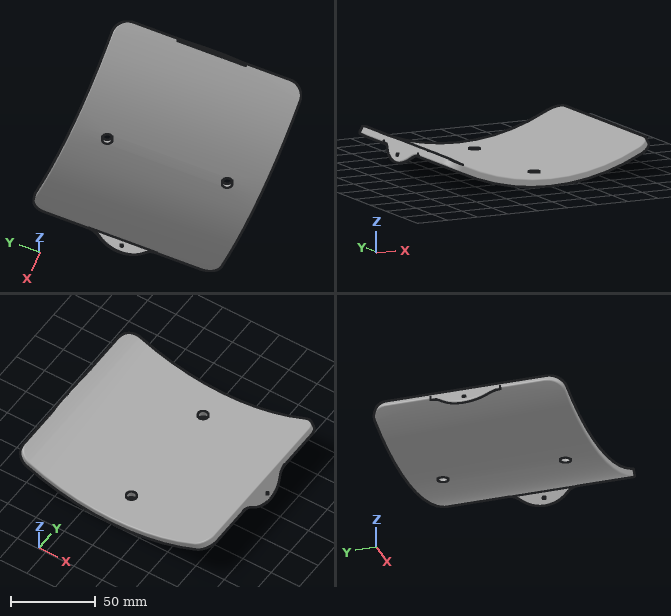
import cadquery as cq
import math

plate_length = 120.0
plate_thickness = 5.1
inner_radius = 133.7
outer_radius = inner_radius + plate_thickness
half_angle = 29.9
corner_radius = 10.0
edge_fillet = 1.0
axis_height = outer_radius

mount_hole_diameter = 6.5
mount_hole_spacing = 76.7

ear_tip_radius = 147.3
ear_root_radius = outer_radius
ear_thickness = 1.5
ear_crown_arc = 21.9
ear_blend_arc = 10.5
ear_overlap = 1.5
pin_hole_diameter = 1.5
pin_hole_radius = 142.6

end_turn = math.radians(half_angle)
ear_arc_sum = ear_crown_arc + ear_blend_arc
ear_sweep = math.acos(1 - (ear_tip_radius - ear_root_radius) / ear_arc_sum)
ear_half_width = ear_arc_sum * math.sin(ear_sweep)


def point_on_arc(radius, angle):
    """XZ point at an angle from straight down, seen from the cylinder axis."""
    angle_radians = math.radians(angle)
    return (radius * math.sin(angle_radians), axis_height - radius * math.cos(angle_radians))


def make_plate():
    """Curved sheet with rounded corners and rims."""
    plate = (
        cq.Workplane("XZ")
        .moveTo(*point_on_arc(inner_radius, -half_angle))
        .threePointArc(point_on_arc(inner_radius, 0), point_on_arc(inner_radius, half_angle))
        .lineTo(*point_on_arc(outer_radius, half_angle))
        .threePointArc(point_on_arc(outer_radius, 0), point_on_arc(outer_radius, -half_angle))
        .close()
        .extrude(plate_length / 2, both=True)
    )
    plate = plate.edges("%LINE").edges("not(|Y)").fillet(corner_radius)

    seams = plate.edges("%LINE").edges("not(|Y)").vals()
    rims = [edge for edge in plate.edges().vals() if not any(edge.isSame(seam) for seam in seams)]
    return plate.newObject(rims).fillet(edge_fillet)


def make_ear():
    """Ear and its pin hole at the +X end; local x runs along Y and local y toward the axis."""
    end_plane = cq.Plane(
        origin=(0, 0, axis_height),
        xDir=(0, 1, 0),
        normal=(math.cos(end_turn), 0, math.sin(end_turn)),
    )
    crown_center = ear_tip_radius - ear_crown_arc
    blend_center = ear_root_radius + ear_blend_arc
    join_x = ear_crown_arc * math.sin(ear_sweep)
    join_y = crown_center + ear_crown_arc * math.cos(ear_sweep)
    blend_x = ear_half_width - ear_blend_arc * math.sin(ear_sweep / 2)
    blend_y = blend_center - ear_blend_arc * math.cos(ear_sweep / 2)
    outline = (
        cq.Workplane(end_plane)
        .moveTo(-ear_half_width, -ear_root_radius)
        .threePointArc((-blend_x, -blend_y), (-join_x, -join_y))
        .threePointArc((0, -ear_tip_radius), (join_x, -join_y))
        .threePointArc((blend_x, -blend_y), (ear_half_width, -ear_root_radius))
        .lineTo(ear_half_width, -ear_root_radius + ear_overlap)
        .lineTo(-ear_half_width, -ear_root_radius + ear_overlap)
        .close()
    )
    ear = outline.extrude(-ear_thickness)
    outer_face = ear.faces(cq.selectors.DirectionMinMaxSelector(end_plane.zDir))
    ear = outer_face.edges("%CIRCLE").fillet(edge_fillet)
    pin_hole = (
        cq.Workplane(end_plane)
        .center(0, -pin_hole_radius)
        .circle(pin_hole_diameter / 2)
        .extrude(-ear_thickness)
    )
    return ear, pin_hole


def make_mount_holes():
    """Two vertical cutters through the lowest line of the plate."""
    return (
        cq.Workplane("XY")
        .pushPoints([(0, -mount_hole_spacing / 2), (0, mount_hole_spacing / 2)])
        .circle(mount_hole_diameter / 2)
        .extrude(2 * plate_thickness)
    )


ear, pin_hole = make_ear()
body = make_plate().union(ear).union(ear.mirror("YZ"))
result = body.cut(make_mount_holes()).cut(pin_hole).cut(pin_hole.mirror("YZ"))